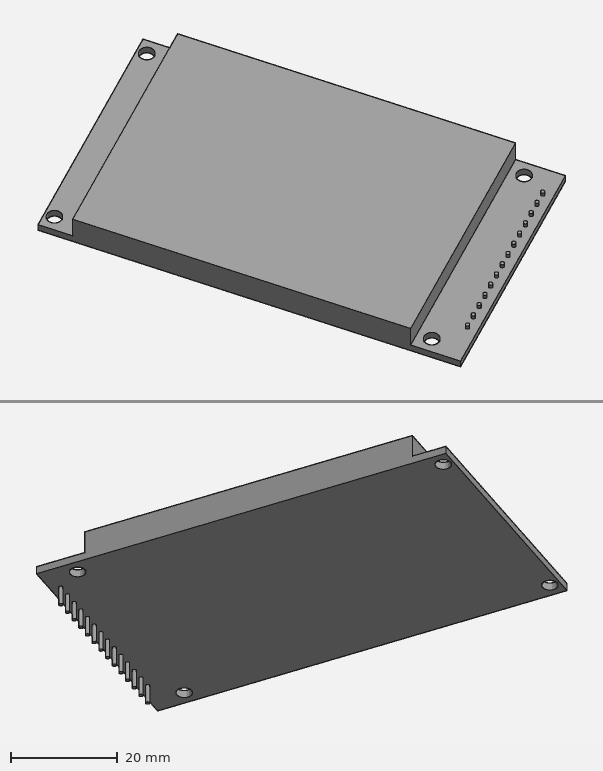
import cadquery as cq

board_length = 86.0
board_width = 50.0
board_thickness = 1.6

display_length = 68.8
display_start = 7.05
display_height = 4.7

hole_diameter = 3.1
hole_edge_offset = 3.0
hole_left_x = 2.1
hole_right_x = 78.9

pin_count = 14
pin_pitch = 2.75
pin_diameter = 0.8
pin_x = 83.9
pin_above_board = 0.9
pin_below_board = 3.95
pin_first_y = 8.2


def make_board():
    return cq.Workplane("XY").box(board_length, board_width, board_thickness, centered=False)


def make_display():
    return (
        cq.Workplane("XY", origin=(display_start, 0, board_thickness))
        .box(display_length, board_width, display_height, centered=False)
    )


def make_hole_cutters():
    hole_centers = [
        (x, y)
        for x in (hole_left_x, hole_right_x)
        for y in (hole_edge_offset, board_width - hole_edge_offset)
    ]
    return (
        cq.Workplane("XY")
        .pushPoints(hole_centers)
        .circle(hole_diameter / 2)
        .extrude(board_thickness)
    )


def make_pins():
    pin_length = pin_below_board + board_thickness + pin_above_board
    pin_centers = [(pin_x, pin_first_y + i * pin_pitch) for i in range(pin_count)]
    return (
        cq.Workplane("XY", origin=(0, 0, -pin_below_board))
        .pushPoints(pin_centers)
        .circle(pin_diameter / 2)
        .extrude(pin_length)
    )


result = make_board().union(make_display()).cut(make_hole_cutters()).union(make_pins())